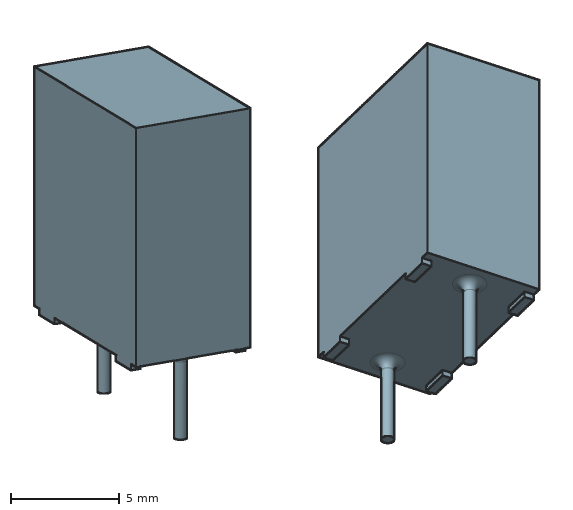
import cadquery as cq

overall_height = 16
body_length = 10.0
body_width = 6.0
pin_length = 4.3
body_height = overall_height - pin_length

foot_length = 1.5
foot_width = 0.5
foot_height = 0.3
foot_end_inset = 0.5

pin_diameter = 0.6
pin_pitch = 7.5
collar_radius = 0.5


def make_body():
    return cq.Workplane("XY").box(body_length, body_width, body_height, centered=(True, True, False))


def make_feet():
    foot_x = body_length / 2 - foot_end_inset - foot_length / 2
    foot_y = body_width / 2 - foot_width / 2
    return (
        cq.Workplane("XY")
        .rect(2 * foot_x, 2 * foot_y, forConstruction=True)
        .vertices()
        .rect(foot_length, foot_width)
        .extrude(-foot_height)
    )


def make_pin(x):
    """Revolve a pin whose collar flares out to meet the underside of the body."""
    pin_radius = pin_diameter / 2
    flare_radius = pin_radius + collar_radius
    arc_reach = collar_radius * (1 - 0.5 ** 0.5)
    profile = (
        cq.Workplane("XZ")
        .moveTo(0, 0)
        .lineTo(flare_radius, 0)
        .threePointArc((pin_radius + arc_reach, -arc_reach), (pin_radius, -collar_radius))
        .lineTo(pin_radius, -pin_length)
        .lineTo(0, -pin_length)
        .close()
    )
    return profile.revolve(360, (0, 0, 0), (0, 1, 0)).translate((x, 0, 0))


result = make_body().union(make_feet())
for side in (-1, 1):
    result = result.union(make_pin(side * pin_pitch / 2))